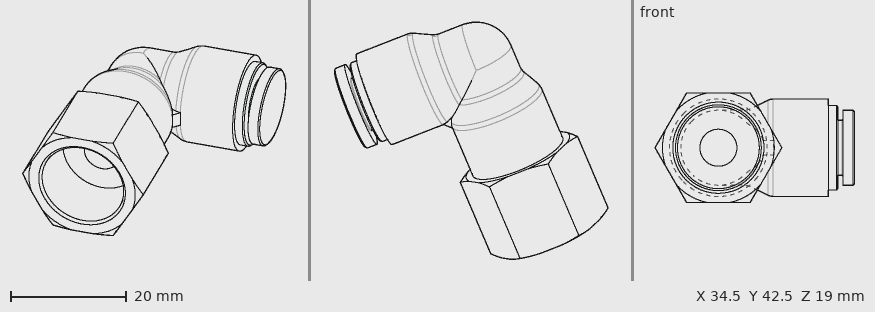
import cadquery as cq
import math

neck_diameter = 13.0
barrel_diameter = 16.9
arm_length = 19.0
cone_start = 5.0
cone_end = 9.0
cone_blend_radius = 2.0
gusset_thickness = 2.55
gusset_leg = 1.05

hex_across_flats = 19.0
hex_length = 15.0
hex_chamfer_diameter = 19.35
hex_chamfer_length = 0.5
socket_mouth_diameter = 14.85
socket_depth = 11.0
socket_taper = 1 / 16
mouth_chamfer_diameter = 15.8
mouth_chamfer_depth = (mouth_chamfer_diameter - socket_mouth_diameter) / 2
passage_diameter = 6.4

ring_diameter = 14.7
ring_length = 1.65
edge_chamfer = 0.25

collar_neck_diameter = 9.6
collar_neck_length = 0.85
collar_root_radius = 0.13
flange_height = 13.0
flange_width = 15.03
flange_thickness = 2.05

hex_across_corners = hex_across_flats / math.cos(math.pi / 6)
socket_floor_diameter = socket_mouth_diameter - socket_taper * socket_depth
collar_start = arm_length + ring_length
flange_start = collar_start + collar_neck_length
gusset_reach = barrel_diameter / 2 + gusset_leg


def make_arm():
    """Solid of revolution along +X: neck, flared cone and barrel with blended transitions."""
    neck_radius = neck_diameter / 2
    barrel_radius = barrel_diameter / 2
    arm = (
        cq.Workplane("XY")
        .polyline([
            (0, 0),
            (0, neck_radius),
            (cone_start, neck_radius),
            (cone_end, barrel_radius),
            (arm_length, barrel_radius),
            (arm_length, 0),
        ])
        .close()
        .revolve(360, (0, 0, 0), (1, 0, 0))
    )
    for corner in (cone_start, cone_end):
        arm = arm.edges(cq.selectors.NearestToPointSelector((corner, 0, 0))).fillet(cone_blend_radius)
    return arm


def make_gusset():
    """Flat web that fills the inner corner between the two barrels."""
    barrel_radius = barrel_diameter / 2
    neck_radius = neck_diameter / 2
    return (
        cq.Workplane("XY")
        .polyline([
            (neck_radius, -neck_radius),
            (gusset_reach, -neck_radius),
            (gusset_reach, -barrel_radius),
            (barrel_radius, -gusset_reach),
            (neck_radius, -gusset_reach),
        ])
        .close()
        .extrude(gusset_thickness / 2, both=True)
    )


def make_elbow():
    """Both arms and the gusset, with a ball that rounds the outer corner."""
    arm = make_arm()
    second_arm = arm.rotate((0, 0, 0), (0, 0, 1), -90)
    corner_ball = cq.Workplane("XY").sphere(neck_diameter / 2)
    return arm.union(second_arm).union(corner_ball).union(make_gusset())


def make_chamfer_envelope():
    """Round blank, bevelled at both ends, that trims the corners of the hexagon."""
    face_radius = hex_chamfer_diameter / 2
    corner_radius = hex_across_corners / 2
    return (
        cq.Workplane("XZ")
        .circle(corner_radius)
        .extrude(hex_length)
        .faces("<Y or >Y")
        .chamfer(hex_chamfer_length, corner_radius - face_radius)
    )


def make_socket():
    """Cavity of the fitting: bevelled mouth, tapered socket and straight passage."""
    mouth_radius = socket_mouth_diameter / 2
    passage_radius = passage_diameter / 2
    return (
        cq.Workplane("XY")
        .polyline([
            (0, 0),
            (passage_radius, 0),
            (passage_radius, socket_depth - hex_length),
            (socket_floor_diameter / 2, socket_depth - hex_length),
            (mouth_radius, mouth_chamfer_depth - hex_length),
            (mouth_chamfer_diameter / 2, -hex_length),
            (0, -hex_length),
        ])
        .close()
        .revolve(360, (0, 0, 0), (0, 1, 0))
    )


def make_hex_fitting():
    """Hollow hexagon that butts against the end of the -Y arm."""
    hexagon = cq.Workplane("XZ").polygon(6, hex_across_corners).extrude(hex_length)
    fitting = hexagon.intersect(make_chamfer_envelope()).cut(make_socket())
    return fitting.translate((0, -arm_length, 0))


def make_ring():
    """Plain disc with a bevelled outer edge."""
    return (
        cq.Workplane("YZ", origin=(arm_length, 0, 0))
        .circle(ring_diameter / 2)
        .extrude(ring_length)
        .faces(">X")
        .chamfer(edge_chamfer)
    )


def make_collar():
    """Round neck that carries an oval push flange, with a small fillet at its root."""
    flange = (
        cq.Workplane("YZ", origin=(flange_start, 0, 0))
        .ellipse(flange_width / 2, flange_height / 2)
        .extrude(flange_thickness)
        .faces(">X")
        .chamfer(edge_chamfer)
    )
    neck = (
        cq.Workplane("YZ", origin=(collar_start, 0, 0))
        .circle(collar_neck_diameter / 2)
        .extrude(collar_neck_length)
    )
    root_edge = cq.selectors.NearestToPointSelector((flange_start, 0, 0))
    return (
        flange.union(neck)
        .edges("%CIRCLE")
        .edges(root_edge)
        .fillet(collar_root_radius)
    )


elbow = make_elbow()
hex_fitting = make_hex_fitting()
ring = make_ring()
collar = make_collar()

result = cq.Compound.makeCompound([elbow.val(), hex_fitting.val(), ring.val(), collar.val()])